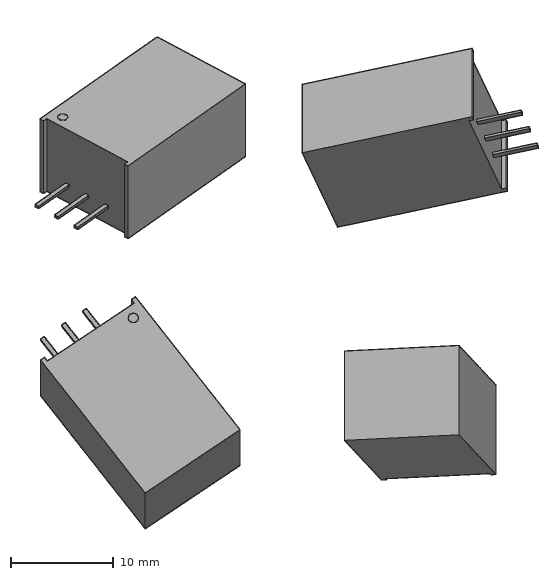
import cadquery as cq

housing_width = 11.5
housing_length = 17.5
housing_height = 9.0
lip_width = 0.5
lip_depth = 0.48

overall_length = 21.6
pin_count = 3
pin_pitch = 2.55
pin_width = 0.48
pin_thickness = 0.3
pin_center_z = 2.15

marker_diameter = 1.0
marker_depth = 0.1
marker_from_side = 1.5
marker_from_lip_end = 1.7

lip_end_y = overall_length - housing_length
pin_face_y = lip_end_y + lip_depth
marker_x = marker_from_side - housing_width / 2
marker_y = lip_end_y + marker_from_lip_end


def centered_block(width, length, height, y_start):
    """Box centred on X, starting at y_start and standing on Z = 0."""
    return (
        cq.Workplane("XY")
        .box(width, length, height, centered=(True, False, False))
        .translate((0, y_start, 0))
    )


def make_marker():
    return (
        cq.Workplane("XY", origin=(marker_x, marker_y, housing_height - marker_depth))
        .circle(marker_diameter / 2)
        .extrude(marker_depth)
    )


def make_housing(marker):
    """Block with its recessed face, its fixed pins and the marker's pocket."""
    body = centered_block(housing_width, housing_length, housing_height, lip_end_y)
    recess_width = housing_width - 2 * lip_width
    body = body.cut(centered_block(recess_width, lip_depth, housing_height, lip_end_y))
    pin_bottom = pin_center_z - pin_thickness / 2
    for index in range(pin_count):
        pin_x = (index - (pin_count - 1) / 2) * pin_pitch
        pin = centered_block(pin_width, pin_face_y, pin_thickness, 0)
        body = body.union(pin.translate((pin_x, 0, pin_bottom)))
    return body.cut(marker)


marker = make_marker()
housing = make_housing(marker)

result = cq.Compound.makeCompound([housing.val(), marker.val()])